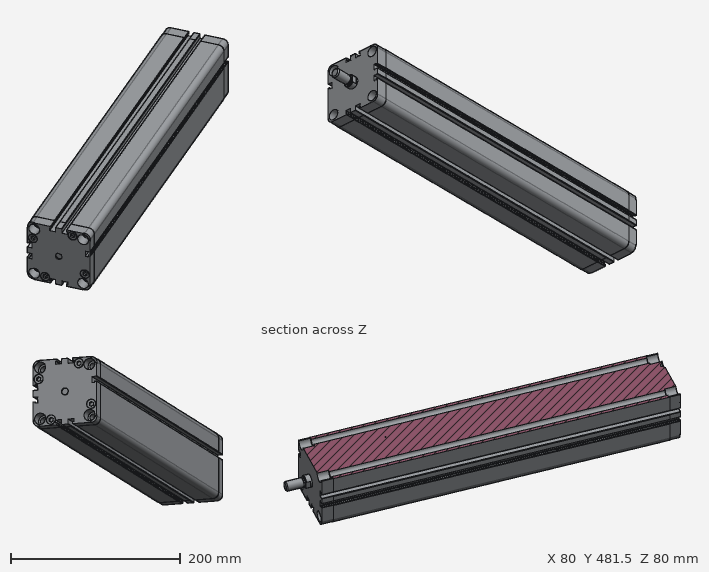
import cadquery as cq

total_length = 481.5
cap_side = 79.5
tube_side = 80.0
corner_radius = 7.0
rod_projection = 31.5
body_length = total_length - rod_projection
rear_cap_length = 13.5
front_cap_length = 14.5
half_side = tube_side / 2

slot_mouth = 6.0
slot_width = 7.0
slot_depth = 6.5
slot_lip = 3.0
slot_edge_chamfer = 0.7
slot_pair_gap = 8.0
side_slot_offset = 15.5

mount_offset = 31.0
mount_diameter = 8.5
mount_bore_diameter = 13.5
mount_bore_depth = 14.5

screw_near = 17.5
screw_far = 32.7
screw_bore_diameter = 11.0
screw_bore_depth = 1.0
socket_sides = 6
socket_across_corners = 6.0
socket_depth = 3.0

corner_step_leg = 8.5
corner_step_depth = 1.0

centre_diameter = 8.0
centre_depth = 2.0

rod_diameter = 16.0
flat_width = 13.0
flat_start = 2.0
shank_length = 7.5
neck_diameter = 10.0
neck_length = 2.0
shank_chamfer = 1.0
thread_diameter = 12.0
thread_chamfer = 1.5


def plane_at(y):
    """Sketch plane facing +Y, with local x along -X and local y along +Z."""
    return cq.Workplane(cq.Plane((0, y, 0), xDir=(-1, 0, 0), normal=(0, 1, 0)))


def section(start, length, side):
    """One length of the body: a square bar with rounded long edges."""
    bar = plane_at(start).rect(side, side).extrude(length)
    return bar.edges("|Y").fillet(corner_radius)


def slot(wall, direction):
    """Slot along the top face; it widens from its straight wall towards `direction`."""
    mouth_edge = wall + direction * slot_mouth
    undercut_edge = wall + direction * slot_width
    chamfer_run = direction * slot_edge_chamfer
    chamfer_level = half_side - slot_edge_chamfer
    lip_level = half_side - slot_lip
    floor_level = half_side - slot_depth
    return (
        plane_at(0)
        .moveTo(wall - chamfer_run, half_side)
        .lineTo(wall, chamfer_level)
        .lineTo(wall, floor_level)
        .lineTo(undercut_edge, floor_level)
        .lineTo(undercut_edge, lip_level)
        .lineTo(mouth_edge, lip_level)
        .lineTo(mouth_edge, chamfer_level)
        .lineTo(mouth_edge + chamfer_run, half_side)
        .close()
        .extrude(body_length)
    )


def turned(shape, angle):
    """The shape turned about the long axis of the cylinder."""
    return shape.rotate((0, 0, 0), (0, 1, 0), angle)


tube_length = body_length - rear_cap_length - front_cap_length
body = section(0, rear_cap_length, cap_side)
body = body.union(section(rear_cap_length, tube_length, tube_side))
body = body.union(section(body_length - front_cap_length, front_cap_length, cap_side))

for angle in (0, 180, -90):
    for direction in (-1, 1):
        pair_slot = slot(direction * slot_pair_gap / 2, direction)
        body = body.cut(turned(pair_slot, angle))

body = body.cut(turned(slot(side_slot_offset, -1), 90))

mount_points = [(x * mount_offset, z * mount_offset) for x in (-1, 1) for z in (-1, 1)]
through_holes = plane_at(0).pushPoints(mount_points).circle(mount_diameter / 2).extrude(body_length)
body = body.cut(through_holes)
for start in (0, body_length - mount_bore_depth):
    bores = plane_at(start).pushPoints(mount_points).circle(mount_bore_diameter / 2).extrude(mount_bore_depth)
    body = body.cut(bores)

screw_points = [
    (screw_near, screw_far),
    (-screw_far, screw_near),
    (-screw_near, -screw_far),
    (screw_far, -screw_near),
]
for x, z in screw_points:
    screw_site = plane_at(0).center(-x, z)
    recess = screw_site.circle(screw_bore_diameter / 2).extrude(screw_bore_depth)
    socket_sketch = screw_site.transformed(rotate=(0, 0, 90))
    socket = socket_sketch.polygon(socket_sides, socket_across_corners).extrude(screw_bore_depth + socket_depth)
    body = body.cut(recess.union(socket))

corner_step = (
    plane_at(0)
    .moveTo(cap_side / 2, cap_side / 2)
    .lineTo(cap_side / 2 - corner_step_leg, cap_side / 2)
    .lineTo(cap_side / 2, cap_side / 2 - corner_step_leg)
    .close()
    .extrude(corner_step_depth)
)
for quarter in range(4):
    body = body.cut(turned(corner_step, 90 * quarter))

body = body.cut(plane_at(0).circle(centre_diameter / 2).extrude(centre_depth))

thread_start = shank_length + neck_length
thread_length = rod_projection - thread_start
shank = plane_at(body_length).circle(rod_diameter / 2).extrude(shank_length)
shank = shank.faces(">Y").chamfer(shank_chamfer)
flat_length = shank_length - flat_start
cutter_size = 2 * rod_diameter
flat_cut = (
    plane_at(body_length + flat_start)
    .rect(cutter_size, cutter_size)
    .rect(flat_width, cutter_size)
    .extrude(flat_length)
)
shank = shank.cut(flat_cut)
neck = plane_at(body_length + shank_length).circle(neck_diameter / 2).extrude(neck_length)
thread = plane_at(body_length + thread_start).circle(thread_diameter / 2).extrude(thread_length)
thread = thread.faces(">Y").chamfer(thread_chamfer)
rod = shank.union(neck).union(thread)

result = body.union(rod)